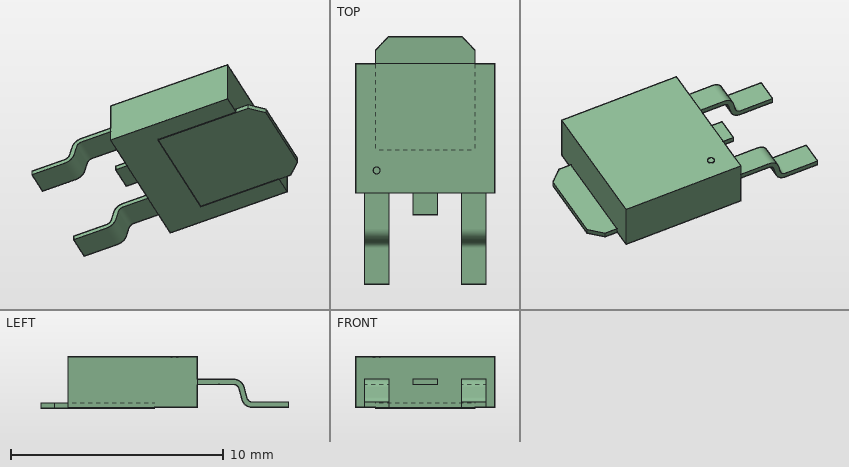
import cadquery as cq
import math


overall_length = 11.68

body_width = 6.55
body_length = 6.11
body_height = 2.4

metal_thickness = 0.26

tab_width = 4.7
tab_overhang = 1.27
tab_front_y = 2.03
tab_standoff = 0.05
tab_corner_x = 0.61
tab_corner_y = 0.64

lead_width = 1.17
lead_pitch = 2.29
lead_top_z = 1.33
lead_reach = overall_length - body_length - tab_overhang
stub_reach = 1.02
bend_start = 1.7
bend_angle = math.radians(75)
inner_bend_radius = metal_thickness

marker_diameter = 0.33
marker_depth = 0.05
marker_y = 1.07


def make_tab():
    """Flat tab under the body, with its two outer corners cut off."""
    half_width = tab_width / 2
    tab_end = body_length + tab_overhang
    return (
        cq.Workplane("XY", origin=(0, 0, -tab_standoff))
        .moveTo(-half_width, tab_front_y)
        .lineTo(half_width, tab_front_y)
        .lineTo(half_width, tab_end - tab_corner_y)
        .lineTo(half_width - tab_corner_x, tab_end)
        .lineTo(-half_width + tab_corner_x, tab_end)
        .lineTo(-half_width, tab_end - tab_corner_y)
        .close()
        .extrude(metal_thickness)
    )


def make_marker():
    """Disc let into the top of the body, flush with its surface."""
    return (
        cq.Workplane("XY", origin=(-lead_pitch, marker_y, body_height - marker_depth))
        .circle(marker_diameter / 2)
        .extrude(marker_depth)
    )


def make_body(tab, marker):
    """Plain block with recesses that fit the tab and the marker."""
    block = cq.Workplane("XY").box(
        body_width, body_length, body_height, centered=(True, False, False)
    )
    return block.cut(tab).cut(marker)


def make_lead(x):
    """Gull-wing lead: a strip swept along its mid-thickness line."""
    mid_radius = inner_bend_radius + metal_thickness / 2
    shoulder_z = lead_top_z - metal_thickness / 2
    foot_z = metal_thickness / 2
    bend_run = mid_radius * math.sin(bend_angle)
    bend_drop = mid_radius * (1 - math.cos(bend_angle))
    slope_drop = shoulder_z - foot_z - 2 * bend_drop
    slope_run = slope_drop / math.tan(bend_angle)
    slope_start = bend_start + bend_run
    slope_end = slope_start + slope_run

    path = (
        cq.Workplane("YZ", origin=(x, 0, 0))
        .moveTo(0, shoulder_z)
        .lineTo(-bend_start, shoulder_z)
        .tangentArcPoint((-slope_start, shoulder_z - bend_drop), relative=False)
        .lineTo(-slope_end, foot_z + bend_drop)
        .tangentArcPoint((-slope_end - bend_run, foot_z), relative=False)
        .lineTo(-lead_reach, foot_z)
    )
    return (
        cq.Workplane("XZ", origin=(x, 0, shoulder_z))
        .rect(lead_width, metal_thickness)
        .sweep(path)
    )


def make_stub():
    """Cropped straight centre lead, level with the lead shoulders."""
    return cq.Workplane(
        "XY", origin=(0, -stub_reach, lead_top_z - metal_thickness)
    ).box(lead_width, stub_reach, metal_thickness, centered=(True, False, False))


tab = make_tab()
marker = make_marker()
body = make_body(tab, marker)
stub = make_stub()

leads = []
for side in (-1, 1):
    leads.append(make_lead(side * lead_pitch).val())

result = cq.Compound.makeCompound(
    [body.val(), tab.val(), marker.val(), stub.val(), *leads]
)